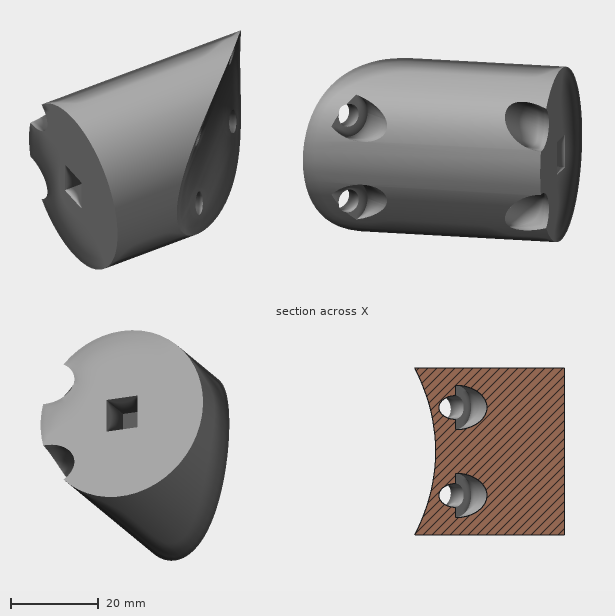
import cadquery as cq
import math

body_radius = 20.0
long_side_length = 55.59

mitre_angle = 45.0
post_radius = 55.0

socket_width = 7.65
socket_depth = 10.0

screw_diameter = 5.3
counterbore_diameter = 10.0
screw_spacing_z = 20.0
seat_thickness = 3.3
screw_row_spacing = 30.0
first_row_entry = -18.75

sin_mitre = math.sin(math.radians(mitre_angle))
cos_mitre = math.cos(math.radians(mitre_angle))
screw_direction = cq.Vector(cos_mitre, sin_mitre, 0)
post_direction = cq.Vector(sin_mitre, -cos_mitre, 0)

saddle_distance = -body_radius * cos_mitre + long_side_length * sin_mitre
seat_distance = saddle_distance - seat_thickness

first_row_offset = first_row_entry * sin_mitre
screw_row_offsets = (first_row_offset, first_row_offset - screw_row_spacing)

cutter_length = 4 * long_side_length


def make_body():
    """Round bar running from the flat end to the tip of the mitre."""
    return cq.Solid.makeCylinder(body_radius, long_side_length, cq.Vector(0, 0, 0), cq.Vector(0, 1, 0))


def make_saddle_cutter():
    """Everything beyond the mitre, bounded by the surface of the round post."""
    post_distance = saddle_distance + post_radius
    start = screw_direction * post_distance - post_direction * (cutter_length / 2)
    return cq.Solid.makeCylinder(post_radius, cutter_length, start, post_direction)


def make_socket_cutter():
    """Blind square socket on the bar axis."""
    return cq.Workplane("XY").box(socket_width, 2 * socket_depth, socket_width).val()


def make_screw_cutter(row_offset, z):
    """Screw hole through the seat, with a counterbore open towards -X and -Y."""
    seat = screw_direction * seat_distance + post_direction * row_offset + cq.Vector(0, 0, z)
    hole = cq.Solid.makeCylinder(screw_diameter / 2, cutter_length, seat, screw_direction)
    counterbore = cq.Solid.makeCylinder(counterbore_diameter / 2, cutter_length, seat, screw_direction * -1)
    return hole.fuse(counterbore)


body = make_body().cut(make_saddle_cutter(), make_socket_cutter())
for row_offset in screw_row_offsets:
    for z in (-screw_spacing_z / 2, screw_spacing_z / 2):
        body = body.cut(make_screw_cutter(row_offset, z))

result = cq.Workplane(obj=body)